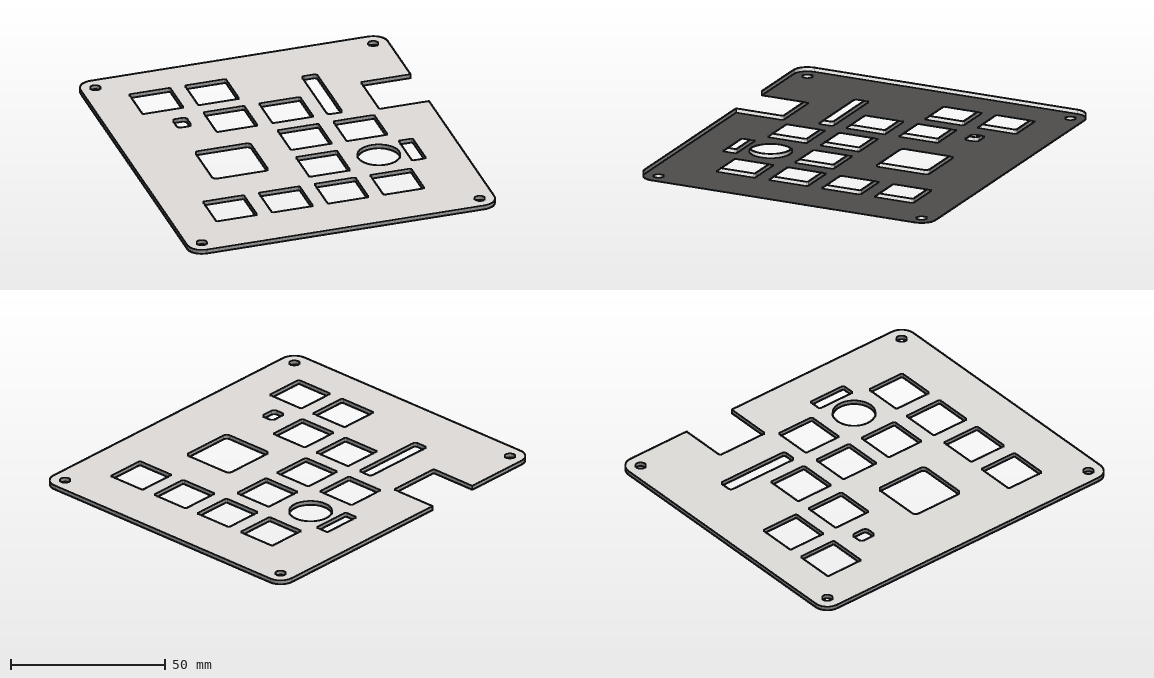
import cadquery as cq

PLATE_WIDTH = 120.0
PLATE_DEPTH = 105.0
PLATE_THICKNESS = 1.5
PLATE_CORNER_RADIUS = 5.0

SCREW_HOLE_DIAMETER = 3.4
SCREW_HOLE_INSET = PLATE_CORNER_RADIUS

KEY_PITCH = 19.05
KEY_SIZE = 14.0
FIRST_COLUMN_X = -40.3
FIRST_ROW_Y = 25.65
KEY_CELLS = [
    (2, 0), (4, 0),
    (1, 1), (2, 1), (3, 1), (4, 1),
    (0, 2), (1, 2), (4, 2),
    (0, 3), (4, 3),
]
SMALL_CORNER_RADIUS = 0.5

ROUND_OPENING_DIAMETER = 14.0
ROUND_OPENING_CELL = (3, 0)

NOTCH_WIDTH = 19.0
NOTCH_DEPTH = 17.0
NOTCH_CENTER_X = -22.0

SHORT_SLOT_SIZE = (KEY_SIZE, 4.8)
SHORT_SLOT_Y = 37.1

LONG_SLOT_SIZE = (27.0, 5.2)
LONG_SLOT_CENTER = (-27.7, 21.0)
LONG_SLOT_CORNER_RADIUS = 1.0

SMALL_WINDOW_SIZE = (6.0, 4.8)
SMALL_WINDOW_CENTER = (-23.8, -28.2)
SMALL_WINDOW_CORNER_RADIUS = 1.3

LARGE_WINDOW_SIZE = (19.5, 19.0)
LARGE_WINDOW_CENTER = (5.8, -21.0)
LARGE_WINDOW_CORNER_RADIUS = 1.5


def cell_center(cell):
    """Return the X, Y centre of a (column, row) cell of the key grid."""
    column, row = cell
    return FIRST_COLUMN_X + column * KEY_PITCH, FIRST_ROW_Y - row * KEY_PITCH


def rounded_block(size, center, corner_radius):
    """Return a plate-thick block with rounded vertical edges."""
    width, depth = size
    block = cq.Workplane("XY").box(width, depth, PLATE_THICKNESS, centered=(True, True, False))
    return block.edges("|Z").fillet(corner_radius).translate((*center, 0))


def round_block(diameter, center):
    """Return a plate-thick cylinder."""
    return cq.Workplane("XY").center(*center).circle(diameter / 2).extrude(PLATE_THICKNESS)


def notch_block():
    """Return the notch volume, running out past the back edge so only its inner corners are rounded."""
    overrun = 2 * SMALL_CORNER_RADIUS
    length = NOTCH_DEPTH + overrun
    center_y = PLATE_DEPTH / 2 - NOTCH_DEPTH + length / 2
    return rounded_block((NOTCH_WIDTH, length), (NOTCH_CENTER_X, center_y), SMALL_CORNER_RADIUS)


def plate_with_screw_holes():
    """Return the rounded plate with a screw hole in each corner."""
    plate = rounded_block((PLATE_WIDTH, PLATE_DEPTH), (0, 0), PLATE_CORNER_RADIUS)
    hole_x = PLATE_WIDTH / 2 - SCREW_HOLE_INSET
    hole_y = PLATE_DEPTH / 2 - SCREW_HOLE_INSET
    for side_x in (-1, 1):
        for side_y in (-1, 1):
            plate = plate.cut(round_block(SCREW_HOLE_DIAMETER, (side_x * hole_x, side_y * hole_y)))
    return plate


def cut_key_openings(plate):
    """Cut the square key openings and the round opening."""
    for cell in KEY_CELLS:
        plate = plate.cut(rounded_block((KEY_SIZE, KEY_SIZE), cell_center(cell), SMALL_CORNER_RADIUS))
    return plate.cut(round_block(ROUND_OPENING_DIAMETER, cell_center(ROUND_OPENING_CELL)))


def cut_slots_and_windows(plate):
    """Cut the back notch, both slots and both windows."""
    short_slot_center = (cell_center(ROUND_OPENING_CELL)[0], SHORT_SLOT_Y)
    plate = plate.cut(notch_block())
    plate = plate.cut(rounded_block(SHORT_SLOT_SIZE, short_slot_center, SMALL_CORNER_RADIUS))
    plate = plate.cut(rounded_block(LONG_SLOT_SIZE, LONG_SLOT_CENTER, LONG_SLOT_CORNER_RADIUS))
    plate = plate.cut(rounded_block(SMALL_WINDOW_SIZE, SMALL_WINDOW_CENTER, SMALL_WINDOW_CORNER_RADIUS))
    return plate.cut(rounded_block(LARGE_WINDOW_SIZE, LARGE_WINDOW_CENTER, LARGE_WINDOW_CORNER_RADIUS))


result = cut_slots_and_windows(cut_key_openings(plate_with_screw_holes()))